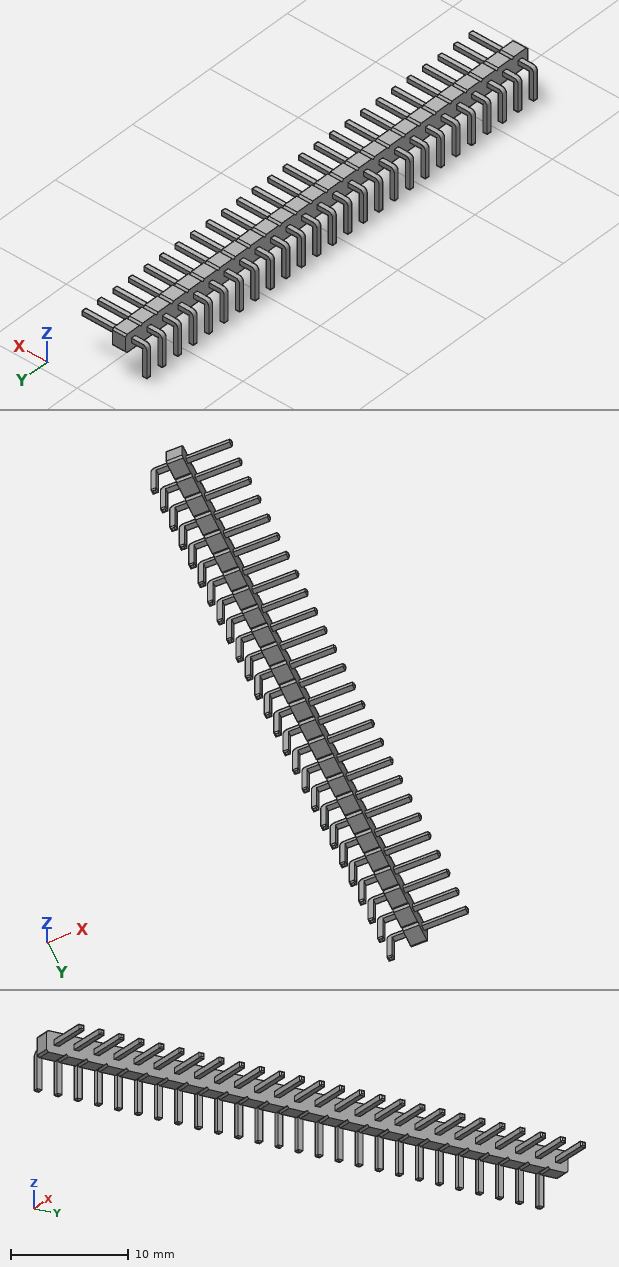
import cadquery as cq


pin_count = 26
pitch = 2.0
row_length = pin_count * pitch

body_width = 1.5
body_height = 2.0
body_gap = 1.75
body_chamfer = 0.2

pin_size = 0.5
tip_length = pin_size / 4
tip_size = pin_size - 2 * tip_length
bend_radius = pin_size
pin_reach = 7.45
leg_bottom = -3.4

pin_left = -pin_size / 2
pin_right = pin_left + pin_reach
body_center_x = pin_left + body_gap + body_width / 2


def make_body_segment():
    """One pitch of plastic, with its four edges along X chamfered."""
    segment = cq.Workplane("XY").box(body_width, pitch, body_height)
    return segment.edges("|X").chamfer(body_chamfer).translate((body_center_x, 0, 0))


def make_tip(plane_name, origin):
    """Tapered square tip growing along the normal of the given plane."""
    plane = cq.Plane.named(plane_name, origin=origin)
    return (
        cq.Workplane(plane)
        .rect(pin_size, pin_size)
        .workplane(offset=tip_length)
        .rect(tip_size, tip_size)
        .loft()
    )


def make_pin():
    """Square pin with a downward leg, a rounded outer bend and two tapered tips."""
    half = pin_size / 2
    arm_end = pin_right - tip_length
    leg_end = leg_bottom + tip_length
    bent_bar = (
        cq.Workplane("XZ")
        .moveTo(pin_left, leg_end)
        .lineTo(pin_left, half - bend_radius)
        .radiusArc((pin_left + bend_radius, half), bend_radius)
        .lineTo(arm_end, half)
        .lineTo(arm_end, -half)
        .lineTo(half, -half)
        .lineTo(half, leg_end)
        .close()
        .extrude(half, both=True)
    )
    arm_tip = make_tip("YZ", (arm_end, 0, 0))
    leg_tip = make_tip("YX", (0, 0, leg_end))
    return bent_bar.union(arm_tip).union(leg_tip)


def make_header():
    """Repeat the segment with its pin along Y, centred on the origin."""
    unit = make_body_segment().union(make_pin())
    first_y = (pitch - row_length) / 2
    offsets = [cq.Vector(0, first_y + index * pitch, 0) for index in range(pin_count)]
    first, *others = [unit.val().translate(offset) for offset in offsets]
    return cq.Workplane("XY").newObject([first.fuse(*others).clean()])


result = make_header()